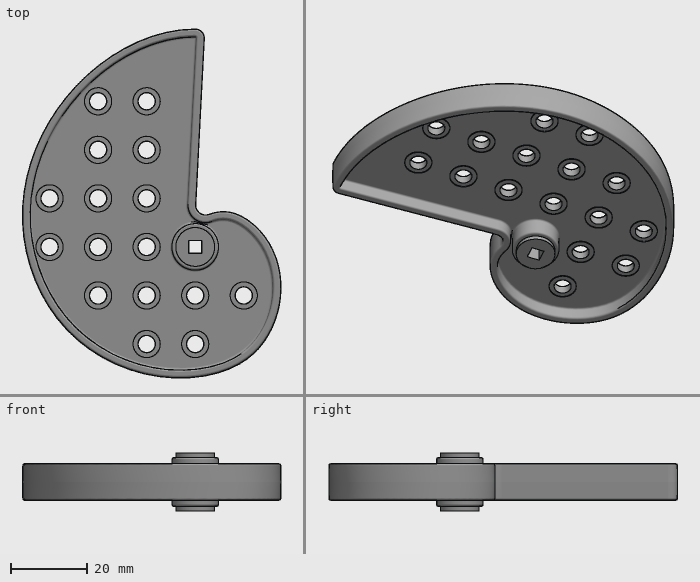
import cadquery as cq
import math

INCH = 25.4

SPIRAL_START_NORMAL = 90
SPIRAL_TURN = 45
SPIRAL_POINTS = (
    (0, 57.0),
    (-29.65, 43.6),
    (-45.2, 7.15),
    (-33.5, -21.75),
    (-3.05, -34.3),
    (15.45, -27.75),
    (22.45, -10.4),
    (16.2, 5.0),
    (7.35, 9.25),
)
TIP_RADIUS = 2.4
CORNER_CENTER = (2.7, 10.9)
CORNER_RADIUS = 0.1 * INCH
CORNER_START_ANGLE = 290

RIM_HEIGHT = 0.376 * INCH
WEB_THICKNESS = 0.085 * INCH
WALL = 0.08 * INCH
DRAFT = 1.0
EDGE_RADIUS = 0.02 * INCH

HUB_LENGTH = 0.6 * INCH
HUB_RADIUS = 0.24 * INCH
HUB_TIP_LENGTH = 0.05 * INCH
HUB_TIP_RADIUS = 0.2 * INCH
SQUARE_BORE = 0.13 * INCH

HOLE_PITCH = 0.5 * INCH
HOLE_RADIUS = 0.0875 * INCH
PAD_RADIUS = 0.14 * INCH
PAD_RAISE = 0.01 * INCH
HOLE_ROWS = {
    -3: (0, 1),
    -2: (-1, 0, 1, 2, 3),
    -1: (-2, -1, 0, 1, 2, 3),
    0: (-2, -1),
    1: (-1,),
}


def polar_point(center, radius, degrees):
    """Point at a radius and direction from a center."""
    angle = math.radians(degrees)
    return (center[0] + radius * math.cos(angle), center[1] + radius * math.sin(angle))


def snail_outline(inset, height):
    """Closed outline, moved inward by inset and lying at the given height."""
    tip_center = (SPIRAL_POINTS[0][0], SPIRAL_POINTS[0][1] - TIP_RADIUS)
    tip_radius = TIP_RADIUS - inset
    corner_radius = CORNER_RADIUS + inset

    spiral = [
        polar_point(point, -inset, SPIRAL_START_NORMAL + i * SPIRAL_TURN)
        for i, point in enumerate(SPIRAL_POINTS)
    ]
    spiral.append(polar_point(CORNER_CENTER, corner_radius, CORNER_START_ANGLE))
    spiral_start_direction = polar_point((0, 0), 1, SPIRAL_START_NORMAL + 90)
    spiral_end_direction = polar_point((0, 0), 1, CORNER_START_ANGLE - 90)

    run = tip_center[0] - CORNER_CENTER[0]
    rise = tip_center[1] - CORNER_CENTER[1]
    crossing = math.asin((tip_radius + corner_radius) / math.hypot(run, rise))
    flank_normal = -math.degrees(math.atan2(run, rise) + crossing)
    corner_end_angle = flank_normal + 180
    corner_middle_angle = (CORNER_START_ANGLE + corner_end_angle) / 2
    tip_middle_angle = (flank_normal + SPIRAL_START_NORMAL) / 2

    return (
        cq.Workplane("XY", origin=(0, 0, height))
        .spline(spiral, tangents=[spiral_start_direction, spiral_end_direction], scale=False)
        .threePointArc(
            polar_point(CORNER_CENTER, corner_radius, corner_middle_angle),
            polar_point(CORNER_CENTER, corner_radius, corner_end_angle),
        )
        .lineTo(*polar_point(tip_center, tip_radius, flank_normal))
        .threePointArc(polar_point(tip_center, tip_radius, tip_middle_angle), spiral[0])
        .close()
        .val()
    )


def drafted_snail(bottom, bottom_inset, top, top_inset):
    """Solid between two heights with an inset of the snail outline at each."""
    wires = [snail_outline(bottom_inset, bottom), snail_outline(top_inset, top)]
    return cq.Workplane(cq.Solid.makeLoft(wires, True))


def tray_half():
    """Upper half of the tray: drafted rim around a recess, with rounded edges."""
    floor = WEB_THICKNESS / 2
    top = RIM_HEIGHT / 2
    slope = math.tan(math.radians(DRAFT))
    body = drafted_snail(0, 0, top, top * slope)
    recess = drafted_snail(floor, WALL + (top - floor) * slope, top, WALL)
    recess = recess.faces("<Z").edges().fillet(EDGE_RADIUS)
    return body.cut(recess).faces(">Z").edges().fillet(EDGE_RADIUS)


def hub_half():
    """Upper half of the hub: rounded shoulder, narrower tip, concave fillet at the web."""
    floor = WEB_THICKNESS / 2
    top = HUB_LENGTH / 2
    shoulder = top - HUB_TIP_LENGTH
    foot_radius = HUB_RADIUS + EDGE_RADIUS
    bulge = EDGE_RADIUS * (1 - math.sqrt(0.5))
    return (
        cq.Workplane("XZ")
        .lineTo(foot_radius, 0)
        .lineTo(foot_radius, floor)
        .threePointArc((HUB_RADIUS + bulge, floor + bulge), (HUB_RADIUS, floor + EDGE_RADIUS))
        .lineTo(HUB_RADIUS, shoulder - EDGE_RADIUS)
        .threePointArc(
            (HUB_RADIUS - bulge, shoulder - bulge),
            (HUB_RADIUS - EDGE_RADIUS, shoulder),
        )
        .lineTo(HUB_TIP_RADIUS, shoulder)
        .lineTo(HUB_TIP_RADIUS, top)
        .lineTo(0, top)
        .close()
        .revolve(360, (0, 0, 0), (0, 1, 0))
    )


def hole_cylinders(radius, half_length):
    """Cylinders through the middle plane at every hole of the grid."""
    centers = [
        (column * HOLE_PITCH, row * HOLE_PITCH)
        for column, rows in HOLE_ROWS.items()
        for row in rows
    ]
    return cq.Workplane("XY").pushPoints(centers).circle(radius).extrude(half_length, both=True)


half = tray_half().union(hub_half())
pads = hole_cylinders(PAD_RADIUS, WEB_THICKNESS / 2 + PAD_RAISE)
holes = hole_cylinders(HOLE_RADIUS, RIM_HEIGHT)
bore = cq.Workplane("XY").rect(SQUARE_BORE, SQUARE_BORE).extrude(HUB_LENGTH, both=True)

result = half.union(half.mirror("XY")).union(pads).cut(holes).cut(bore)